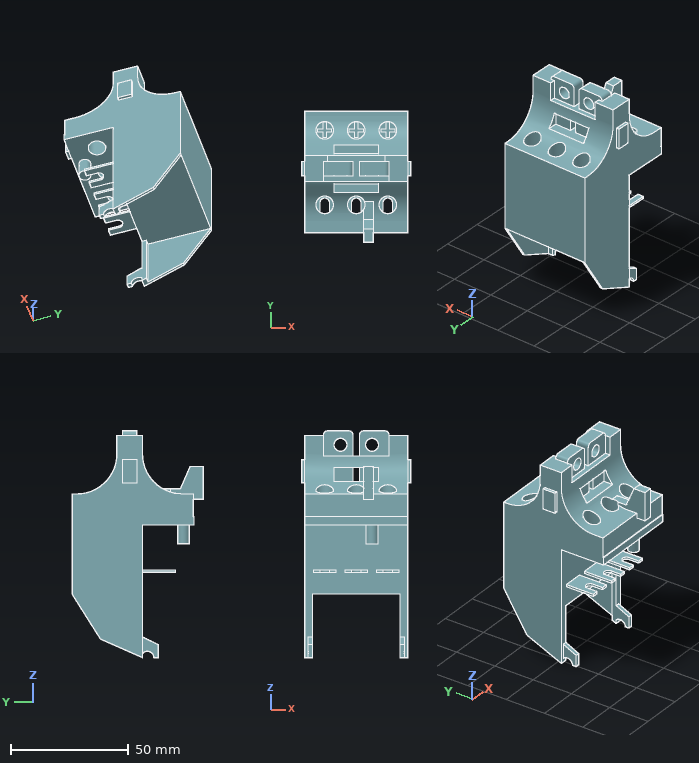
import cadquery as cq
import math


body_width = 44.0
back_y = 30.2
shelf_front_y = -21.7
ledge_front_y = -22.0
ledge_bottom_z = 56.6
ledge_top_z = 60.3
shelf_z = 70.0
wall_knee_y = 18.0
wall_knee_z = 8.0
wall_back_bottom_z = 27.2

tower_depth = 11.1
tower_top_z = 95.1
flank_radius = 17.0

opening_width = 37.2
opening_top_z = wall_back_bottom_z
leg_front_depth = 2.0
leg_wall_thickness = 1.2

tab_depth = 6.2
tab_gap = 2.7
tab_span = 28.1
tab_top_z = 97.0
tab_corner_radius = 1.8
tab_hole_diameter = 5.4
tab_hole_z = 91.0
tab_hole_spacing = 13.5
tab_recess_z = 86.2
back_recess_width = tab_span - 2 * tab_corner_radius
window_width = 18.9
window_bottom_z = 75.4
window_top_z = 81.3

pad_span = 46.8
pad_bottom_z = 74.7
pad_top_z = 84.7

pole_pitch = 13.5
pole_xs = [-pole_pitch, 0, pole_pitch]
access_hole_diameter = 7.5
front_hole_y = -9.9
screw_hole_y = 21.9
screw_head_z = ledge_top_z
cross_depth = 1.0
cross_long_length = 6.6
cross_long_offset = 0.3
cross_long_width = 1.65
cross_short_length = 6.0
cross_short_width = 1.3
terminal_width = 9.7
terminal_length = 14.1
terminal_bottom_z = 36.5
terminal_thickness = 1.1
terminal_slot_width = 4.0
terminal_slot_center_y = -9.0

lever_left_x = 3.1
lever_width = 4.2
lever_front_y = -26.0
lever_top_back_y = -20.3
lever_foot_y = -16.1
lever_back_y = front_hole_y + access_hole_diameter / 2
lever_top_z = 81.8
lever_foot_z = 72.3
lever_bottom_z = 67.7

peg_diameter = 5.0
peg_x = pole_pitch / 2
peg_y = -17.5
peg_bottom_z = 48.7

hook_thickness = 1.9
hook_length = 6.7
hook_root_z = 8.9
hook_tip_z = 5.6
hook_notch_radius = 2.7
hook_notch_y = -2.0

tower_mid_y = tower_depth / 2
overlap = 1.0


def box(x_range, y_range, z_range):
    """Block between the given lower and upper limits along each axis."""
    limits = (x_range, y_range, z_range)
    sizes = [high - low for low, high in limits]
    corner = tuple(low for low, high in limits)
    return cq.Workplane("XY").box(*sizes, centered=False).translate(corner)


def centered(width, middle=0.0):
    """Lower and upper limit of a width about a middle."""
    return (middle - width / 2, middle + width / 2)


def side_sketch(left_x):
    """Workplane whose local axes are Y and Z and which extrudes toward +X."""
    return cq.Workplane("YZ", origin=(left_x, 0, 0))


def upright_cylinder(diameter, x, y, bottom_z, top_z):
    base = cq.Workplane("XY", origin=(x, y, bottom_z))
    return base.circle(diameter / 2).extrude(top_z - bottom_z)


def make_body():
    flank_top_z = shelf_z + flank_radius
    arc_offset = flank_radius * (1 - math.sqrt(0.5))
    solid = (
        side_sketch(-body_width / 2)
        .moveTo(0, 0)
        .lineTo(wall_knee_y, wall_knee_z)
        .lineTo(back_y, wall_back_bottom_z)
        .lineTo(back_y, shelf_z)
        .lineTo(tower_depth + flank_radius, shelf_z)
        .threePointArc((tower_depth + arc_offset, shelf_z + arc_offset), (tower_depth, flank_top_z))
        .lineTo(tower_depth, tower_top_z)
        .lineTo(0, tower_top_z)
        .lineTo(0, flank_top_z)
        .threePointArc((-arc_offset, shelf_z + arc_offset), (-flank_radius, shelf_z))
        .lineTo(shelf_front_y, shelf_z)
        .lineTo(shelf_front_y, ledge_top_z)
        .lineTo(ledge_front_y, ledge_top_z)
        .lineTo(ledge_front_y, ledge_bottom_z)
        .lineTo(0, ledge_bottom_z)
        .close()
        .extrude(body_width)
    )
    opening_z = (0, opening_top_z)
    opening = box(centered(opening_width), (0, back_y), opening_z)
    inner_width = body_width - 2 * leg_wall_thickness
    wide_opening = box(centered(inner_width), (leg_front_depth, back_y), opening_z)
    return solid.cut(opening).cut(wide_opening)


def tower_cutouts():
    """Recesses around the tabs, windows in both flanks and the slit joining the windows."""
    flank_front_y = -flank_radius
    flank_back_y = tower_depth + flank_radius
    recess_z = (tab_recess_z, tower_top_z)
    window_z = (window_bottom_z, window_top_z)
    return [
        box(centered(tab_span), (flank_front_y, tower_mid_y), recess_z),
        box(centered(back_recess_width), (tower_mid_y, flank_back_y), recess_z),
        box(centered(window_width), (flank_front_y, 0), window_z),
        box(centered(window_width), (tower_depth, flank_back_y), window_z),
        box(centered(tab_gap), (flank_front_y, flank_back_y), window_z),
    ]


def make_tab(side):
    inner_x = tab_gap / 2
    outer_x = tab_span / 2
    y_range = centered(tab_depth, tower_mid_y)
    tab = box((inner_x, outer_x), y_range, (tab_recess_z - overlap, tab_top_z))
    tab = tab.edges("|Y and >Z").fillet(tab_corner_radius)
    hole = (
        cq.Workplane("XZ", origin=(tab_hole_spacing / 2, y_range[1], tab_hole_z))
        .circle(tab_hole_diameter / 2)
        .extrude(tab_depth)
    )
    tab = tab.cut(hole)
    return tab if side > 0 else tab.mirror("YZ")


def make_side_pad(side):
    x_range = (body_width / 2, pad_span / 2)
    pad = box(x_range, centered(tab_depth, tower_mid_y), (pad_bottom_z, pad_top_z))
    return pad if side > 0 else pad.mirror("YZ")


def make_lever():
    return (
        side_sketch(lever_left_x)
        .polyline([
            (lever_front_y, lever_bottom_z),
            (lever_front_y, lever_top_z),
            (lever_top_back_y, lever_top_z),
            (lever_foot_y, lever_foot_z),
            (lever_back_y, lever_foot_z),
            (lever_back_y, lever_bottom_z),
        ])
        .close()
        .extrude(lever_width)
    )


def make_terminal(x):
    """Fork-shaped tongue standing out from the front of the lower wall."""
    z_range = (terminal_bottom_z, terminal_bottom_z + terminal_thickness)
    tongue = box(centered(terminal_width, x), (-terminal_length, overlap), z_range)
    slot = box(
        centered(terminal_slot_width, x),
        (-terminal_length, terminal_slot_center_y),
        z_range,
    )
    slot_end = upright_cylinder(terminal_slot_width, x, terminal_slot_center_y, *z_range)
    return tongue.cut(slot).cut(slot_end)


def make_screw_hole(x):
    """Blind hole whose floor is a screw head with a cross recess."""
    hole = upright_cylinder(access_hole_diameter, x, screw_hole_y, screw_head_z, tower_top_z)
    cross_z = (screw_head_z - cross_depth, screw_head_z)
    long_bar = box(
        centered(cross_long_width, x),
        centered(cross_long_length, screw_hole_y + cross_long_offset),
        cross_z,
    )
    short_bar = box(
        centered(cross_short_length, x),
        centered(cross_short_width, screw_hole_y),
        cross_z,
    )
    return hole.union(long_bar).union(short_bar)


def make_hook(left_x):
    plate = (
        side_sketch(left_x)
        .polyline([(0, 0), (0, hook_root_z), (-hook_length, hook_tip_z), (-hook_length, 0)])
        .close()
        .extrude(hook_thickness)
    )
    notch = side_sketch(left_x).center(hook_notch_y, 0).circle(hook_notch_radius).extrude(hook_thickness)
    return plate.cut(notch)


part = make_body()
for cutout in tower_cutouts():
    part = part.cut(cutout)

for side in (-1, 1):
    part = part.union(make_tab(side))
    part = part.union(make_side_pad(side))

part = part.union(make_lever())
part = part.union(upright_cylinder(peg_diameter, peg_x, peg_y, peg_bottom_z, ledge_top_z))

for pole_x in pole_xs:
    part = part.union(make_terminal(pole_x))
    part = part.cut(
        upright_cylinder(access_hole_diameter, pole_x, front_hole_y, ledge_bottom_z, lever_top_z)
    )
    part = part.cut(make_screw_hole(pole_x))

hook_outer_x = opening_width / 2 + hook_thickness
for hook_left_x in (-hook_outer_x, opening_width / 2):
    part = part.union(make_hook(hook_left_x))

result = part